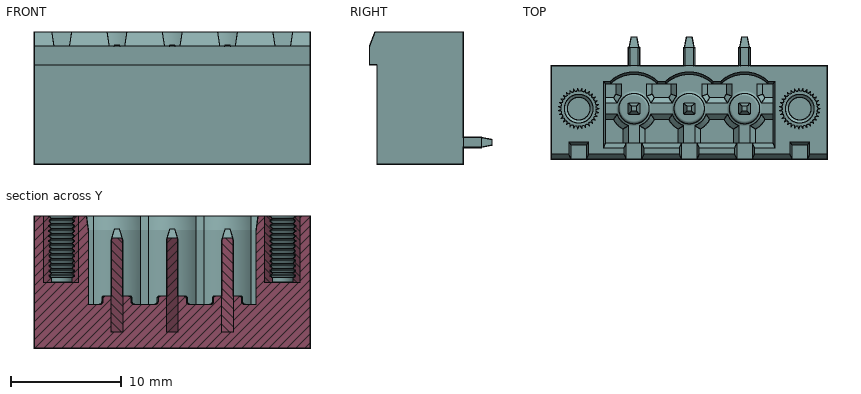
import cadquery as cq
import math


length = 25.0
height = 12.0
back_y = 8.5
lip_depth = 0.68
lip_bottom_z = 9.0
bevel_depth = 0.5
bevel_height = 1.3
bevel_z = height - bevel_height

pitch = 5.0
pin_xs = [-pitch, 0.0, pitch]
insert_xs = [-2 * pitch, 2 * pitch]
row_y = 4.6

floor_z = 3.5
pocket_half = 7.58
pocket_front_y = 1.5
pocket_rear_y = 6.85
side_flare = 0.18
front_flare = 0.45
rear_flare = 0.22
arch_radius = row_y - pocket_front_y

ridge_height = 0.5
ridge_top_z = floor_z + ridge_height
ridge_width = 1.0
tongue_width = 2.28
boss_base_diameter = 3.2
boss_base_radius = boss_base_diameter / 2
boss_radius = 1.38
boss_height = 0.75
boss_round = boss_base_radius - boss_radius

notch_top_width = 1.8
notch_floor_width = 1.4
notch_top_depth = 1.58
notch_floor_depth = 1.32

pin_width = 1.05
pin_top_z = 10.8
tail_z = 2.0
tail_height = 1.0
tail_end_y = 11.1
tail_edge_across = 0.15
tail_edge_down = 0.08
upright_edge = 0.08
tip_length = 0.98
top_tip_width = 0.45
tail_tip_base = 0.9
tail_tip_width = 0.52

insert_length = 6.0
knurl_root_diameter = 3.18
knurl_root_radius = knurl_root_diameter / 2
knurl_tip_radius = 1.82
knurl_teeth = 31
thread_minor_radius = 1.02
thread_major_radius = 1.25
thread_pitch = 0.45
thread_mouth_radius = 1.3
thread_mouth_depth = 0.2
thread_crest = 0.1


def box(x0, x1, y0, y1, z0, z1):
    """Box between two opposite corners."""
    return cq.Workplane("XY").box(x1 - x0, y1 - y0, z1 - z0, centered=False).translate((x0, y0, z0))


def frustum(lower, upper, z0, z1):
    """Four-sided tapered block; each end is given as (x0, x1, y0, y1)."""
    def centre_and_size(end):
        x0, x1, y0, y1 = end
        return ((x0 + x1) / 2, (y0 + y1) / 2), (x1 - x0, y1 - y0)

    lower_centre, lower_size = centre_and_size(lower)
    upper_centre, upper_size = centre_and_size(upper)
    return (
        cq.Workplane("XY", origin=(*lower_centre, z0)).rect(*lower_size)
        .workplane(offset=z1 - z0, origin=(*upper_centre, z0)).rect(*upper_size)
        .loft(ruled=True)
    )


def centred_square(width, x, y):
    """Ends of a square about (x, y), as (x0, x1, y0, y1)."""
    return x - width / 2, x + width / 2, y - width / 2, y + width / 2



def housing_block():
    """Solid bar with a bevelled lip along the top front edge."""
    outline = [
        (lip_depth, 0),
        (back_y, 0),
        (back_y, height),
        (bevel_depth, height),
        (0, bevel_z),
        (0, lip_bottom_z),
        (lip_depth, lip_bottom_z),
    ]
    return cq.Workplane("YZ", origin=(-length / 2, 0, 0)).polyline(outline).close().extrude(length)


def pocket_arch(x):
    """Round rear bay behind one pin, leaning back above the bevel level."""
    round_bay = cq.Workplane("XY", origin=(x, row_y, ridge_top_z)).circle(arch_radius)
    round_bay = round_bay.extrude(bevel_z - ridge_top_z)
    lead_in = (
        cq.Workplane("XY", origin=(x, row_y, bevel_z)).circle(arch_radius)
        .workplane(offset=bevel_height).center(0, rear_flare).circle(arch_radius)
        .loft(ruled=True)
    )
    behind_pocket = box(x - pitch, x + pitch, pocket_rear_y, back_y, 0, height)
    return round_bay.union(lead_in).intersect(behind_pocket)


def pocket():
    """Rectangular pocket with its lead-in and one rear bay per pin."""
    walls = (-pocket_half, pocket_half, pocket_front_y, pocket_rear_y)
    mouth = (
        -pocket_half - side_flare,
        pocket_half + side_flare,
        pocket_front_y - front_flare,
        pocket_rear_y + rear_flare,
    )
    space = box(*walls, floor_z, bevel_z).union(frustum(walls, mouth, bevel_z, height))
    for x in pin_xs:
        space = space.union(pocket_arch(x))
    return space


def notch(x, floor_depth, top_depth):
    """Notch through the lip with tapered sides and its floor at the bevel level."""
    floor = (x - notch_floor_width / 2, x + notch_floor_width / 2, 0, floor_depth)
    top = (x - notch_top_width / 2, x + notch_top_width / 2, 0, top_depth)
    return frustum(floor, top, bevel_z, height)


def ridge_profile(plane, top_width):
    """Trapezoid standing on the pocket floor with 45 degree flanks."""
    top_half = top_width / 2
    base_half = top_half + ridge_height
    outline = [(-base_half, 0), (base_half, 0), (top_half, ridge_height), (-top_half, ridge_height)]
    return plane.polyline(outline).close()


def row_ridge():
    """Ridge joining all the bosses, from end wall to end wall."""
    plane = cq.Workplane("YZ", origin=(-pocket_half, row_y, floor_z))
    return ridge_profile(plane, ridge_width).extrude(2 * pocket_half)


def cross_ridges(x):
    """Narrow ridge from one boss to the front wall and wide tongue to its rear bay."""
    plane = cq.Workplane("XZ", origin=(x, row_y, floor_z))
    front = ridge_profile(plane, ridge_width).extrude(row_y - pocket_front_y)
    rear = ridge_profile(plane, tongue_width).extrude(row_y - pocket_rear_y)
    return front.union(rear)


def boss(x):
    """Cone up to the ridge tops and a round boss with a filleted foot and a rounded rim."""
    boss_top_z = ridge_top_z + boss_height
    turn = boss_round * math.sqrt(0.5)
    rim_radius = boss_radius - boss_round
    profile = (
        cq.Workplane("XZ")
        .moveTo(0, floor_z)
        .lineTo(boss_base_radius + ridge_height, floor_z)
        .lineTo(boss_base_radius, ridge_top_z)
        .threePointArc(
            (boss_base_radius - turn, ridge_top_z + boss_round - turn),
            (boss_radius, ridge_top_z + boss_round),
        )
        .lineTo(boss_radius, boss_top_z - boss_round)
        .threePointArc(
            (rim_radius + turn, boss_top_z - boss_round + turn),
            (rim_radius, boss_top_z),
        )
        .lineTo(0, boss_top_z)
        .close()
    )
    return profile.revolve(360, (0, 0), (0, 1)).translate((x, row_y, 0))


def make_housing(pins, insert_plugs):
    """Housing with holes that match the pins and the knurled outside of the inserts."""
    body = housing_block().cut(pocket())
    for x in pin_xs:
        body = body.cut(notch(x, pocket_front_y, pocket_front_y))
    for x in insert_xs:
        body = body.cut(notch(x, notch_floor_depth, notch_top_depth))
    body = body.union(row_ridge())
    for x in pin_xs:
        body = body.union(cross_ridges(x)).union(boss(x))
    for part in pins + insert_plugs:
        body = body.cut(part)
    return body



def bevelled_bar(plane, width, depth, edge_across, edge_down, bar_length):
    """Rectangular bar with its four long edges bevelled."""
    half_width = width / 2
    half_depth = depth / 2
    flat_width = half_width - edge_across
    flat_depth = half_depth - edge_down
    section = [
        (-half_width, -flat_depth),
        (-flat_width, -half_depth),
        (flat_width, -half_depth),
        (half_width, -flat_depth),
        (half_width, flat_depth),
        (flat_width, half_depth),
        (-flat_width, half_depth),
        (-half_width, flat_depth),
    ]
    return plane.polyline(section).close().extrude(bar_length)


def make_pin(x):
    """Upright contact with a pointed top and a pointed tail out of the back."""
    foot_z = tail_z - tail_height / 2
    shoulder_z = pin_top_z - tip_length
    foot = cq.Workplane("XY", origin=(x, row_y, foot_z))
    upright = bevelled_bar(foot, pin_width, pin_width, upright_edge, upright_edge, pin_top_z - foot_z)
    base = centred_square(pin_width, x, row_y)
    shaft = box(*base, foot_z, shoulder_z)
    top_tip = frustum(base, centred_square(top_tip_width, x, row_y), shoulder_z, pin_top_z)
    upright = upright.intersect(shaft.union(top_tip))

    tail_shoulder_y = tail_end_y - tip_length
    elbow = cq.Workplane("XZ", origin=(x, row_y, tail_z))
    tail = bevelled_bar(
        elbow, pin_width, tail_height, tail_edge_across, tail_edge_down, row_y - tail_shoulder_y
    )
    tail_tip = (
        cq.Workplane("XZ", origin=(x, tail_shoulder_y, tail_z))
        .rect(tail_tip_base, tail_tip_base)
        .workplane(offset=-tip_length).rect(tail_tip_width, tail_tip_width)
        .loft(ruled=True)
    )
    return upright.union(tail).union(tail_tip)



def polar(radius, angle):
    """Point at a radius and angle."""
    return radius * math.cos(angle), radius * math.sin(angle)


def insert_outside(x):
    """Cylinder knurled with pointed teeth, half a step wide at their roots."""
    step = 2 * math.pi / knurl_teeth
    outline = cq.Workplane("XY", origin=(x, row_y, height - insert_length))
    outline = outline.moveTo(*polar(knurl_root_radius, -step / 4))
    for i in range(knurl_teeth):
        angle = i * step
        outline = (
            outline.lineTo(*polar(knurl_tip_radius, angle))
            .lineTo(*polar(knurl_root_radius, angle + step / 4))
            .threePointArc(
                polar(knurl_root_radius, angle + step / 2),
                polar(knurl_root_radius, angle + step * 3 / 4),
            )
        )
    return outline.close().extrude(insert_length)


def threaded_bore(x):
    """Through bore with a chamfered mouth and V-shaped thread grooves between flat crests."""
    bottom_z = height - insert_length
    groove_z = height - thread_mouth_depth - thread_crest
    groove_width = thread_pitch - thread_crest
    profile = [
        (0, height),
        (thread_mouth_radius, height),
        (thread_minor_radius, height - thread_mouth_depth),
    ]
    turns = math.floor((groove_z - bottom_z) / thread_pitch)
    for _ in range(turns):
        profile += [
            (thread_minor_radius, groove_z),
            (thread_major_radius, groove_z - groove_width / 2),
            (thread_minor_radius, groove_z - groove_width),
        ]
        groove_z -= thread_pitch
    profile += [(thread_minor_radius, bottom_z), (0, bottom_z)]
    bore = cq.Workplane("XZ").polyline(profile).close().revolve(360, (0, 0), (0, 1))
    return bore.translate((x, row_y, 0))


def make_insert(x):
    """Knurled insert with a threaded bore."""
    return insert_outside(x).cut(threaded_bore(x))


pins = [make_pin(x) for x in pin_xs]
inserts = [make_insert(x) for x in insert_xs]
housing = make_housing(pins, [insert_outside(x) for x in insert_xs])

result = cq.Compound.makeCompound(
    [housing.val()] + [pin.val() for pin in pins] + [insert.val() for insert in inserts]
)